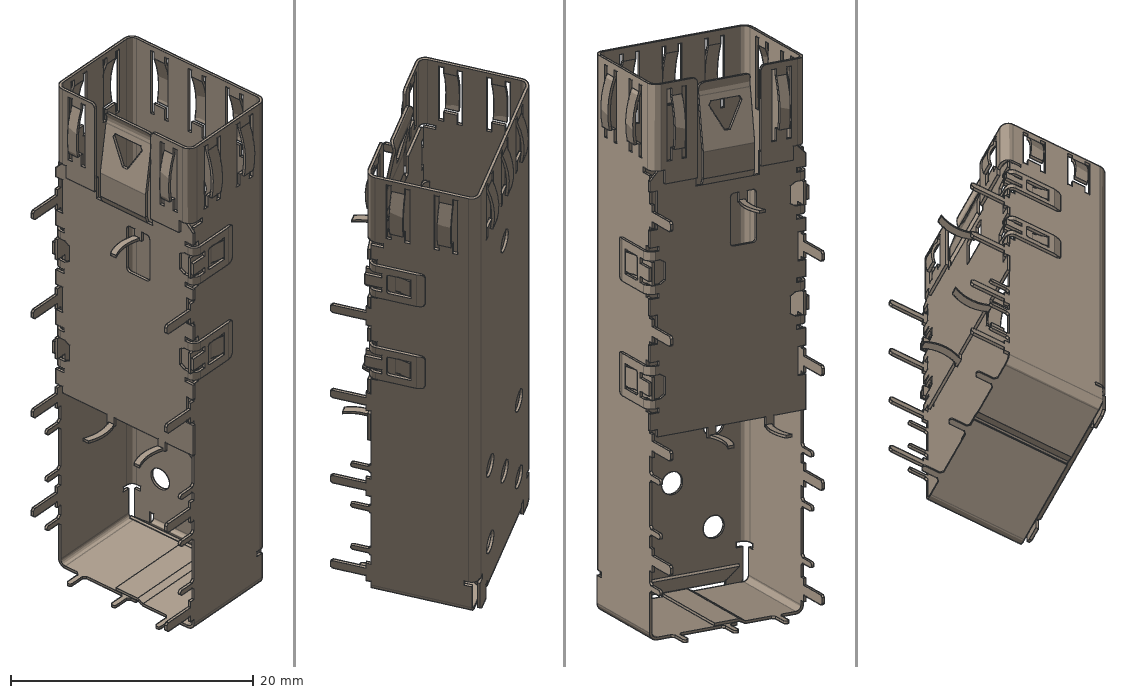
import cadquery as cq
import math


SHEET = 0.25
LENGTH = 48.8
HALF_WIDTH = 7.3
BACK_Y = 6.1
LIP_Y = -3.65
CORNER_R = 0.85
RAIL_Y = -3.15

LIP_BOTTOM_Z = 40.0
LIP_HALF_WIDTH = 6.1
LIP_GAP_HALF = 3.05
LIP_GAP_ROUND = 0.45
RELIEF_Z = 40.8
RELIEF_TOP_Z = 41.25
RELIEF_Y = -2.1

FINGER_BULGE = 0.6
FINGER_SLIT_TOP = 48.25
FINGER_SLIT_BOTTOM = 41.95
FINGER_ROOT_Z = 47.65
FINGER_PEAK_Z = 44.9
FINGER_END_Z = 43.05
FINGER_END_BULGE = 0.45
BACK_FINGERS = (-4.05, 0.0, 4.05)
SIDE_FINGERS = (3.3, -0.85)
LIP_FINGERS = (-5.0, 5.0)

CORNER_CUT_Z = 3.8
CORNER_CUT_HEIGHT = 0.5
CORNER_CUT_X = 6.1
CORNER_CUT_Y = 4.9
BACK_FLAP_HALF = 6.75
FLOOR_BACK_Y = 5.55
FLOOR_Z = 0.15
FLOOR_BEND_R = 0.75
FLOOR_LEFT_END = 1.02
FLOOR_LAP_END = -1.1
FLOOR_STEP = (1.2, 1.8)
FLOOR_LAP_RISE = 0.3
KICK_HALF_WIDTH = 4.7
KICK_SLIT_X = 5.1
KICK_SLIT_TOP = 1.65
KICK_BEND_R = 0.55
KICK_BEND_Z = 1.25
KICK_ANGLE = math.radians(40)
KICK_LENGTH = 3.1
FLANK_CHAMFER = 0.45

VENT_DIA = 2.0
VENT_PITCH_X = 7.9
VENT_PITCH_Z = 9.0
VENT_CENTRE_Z = 10.0
UPPER_VENT_Z = 37.05

PIN_PITCH = 10.0
LEFT_PINS = [7.3 + PIN_PITCH * i for i in range(4)]
RIGHT_PINS = [2.3 + PIN_PITCH * i for i in range(4)]
PIN_TIP_Y = -6.7
PIN_WIDTH = 0.9
PIN_CHAMFER = 0.2
SHOULDER_Y = -3.6
SHOULDER_HALF = 1.02
SHORT_PINS = (4.85, 9.75, 14.5)
SHORT_PIN_TIP_Y = -4.95
SHORT_PIN_WIDTH = 0.5
SHORT_PIN_FLARE = 0.25
FLOOR_PINS = (-4.8, 0.0, 4.8)

PLATE_OUT_Y = RAIL_Y - SHEET
PLATE_HALF_WIDTH = 7.4
PLATE_BOTTOM_Z = 17.95
PLATE_TOP_Z = RELIEF_TOP_Z
PLATE_CORNER = 0.9
PLATE_NOTCH_X = 6.7
PLATE_NOTCH_HALF = 1.25
LONG_NOTCH_TOP = 39.45
LEFT_FLAPS = (22.3, 32.3)
RIGHT_FLAPS = (27.35, 36.95)

FLAP_OUT_X = 7.6
FLAP_HALF = 1.85
FLAP_END_Y = 1.55
FLAP_BEND_R = 0.75
FLAP_LEAD_IN = 0.7
FLAP_END_THIN = 0.1
FLAP_END_ROUND = 0.4
WINDOW_TOP_Y = 0.4
WINDOW_END_Y = -1.7
WINDOW_HALF = 1.05
WINDOW_ROUND = 0.25
SLOT_INNER_X = 5.95
SLOT_TAPER_X = 6.45
SLOT_TIP_HALF = 0.8
SLOT_END_Y = -2.15
FLAP_STRIP_HALF = 0.6
FLAP_RELIEF = 0.4
FLAP_RELIEF_X = 6.55
RAIL_RECESS_Y = -2.65
BARB_TOP_Y = 0.3
BARB_END_Y = -1.02
BARB_HALF = 0.9

OPENING_X = (0.25, 2.75)
OPENING_Z = (33.4, 38.0)
OPENING_ROUND = 0.35
GROUND_WIDTH = 0.6
GROUND_BOW = 0.4
GROUND_DROP = 0.95
GROUND_NECK = 0.8
GROUND_TIP_Y = -6.6

LATCH_HALF = 2.45
LATCH_ROOT_Z = 39.25
LATCH_TOP_Z = 48.05
LATCH_ROUND = 0.5


def box(x0, x1, y0, y1, z0, z1):
    """Block between two corners given as axis limits."""
    return cq.Workplane("XY").box(x1 - x0, y1 - y0, z1 - z0, centered=False).translate((x0, y0, z0))


def mirrored_box(x0, x1, y0, y1, z0, z1):
    """A block and its mirror image in X."""
    block = box(x0, x1, y0, y1, z0, z1)
    return block.union(block.mirror("YZ"))


def side_of(shape, side):
    """Return a +X shape for side 1, or its mirror image for side -1."""
    return shape if side > 0 else shape.mirror("YZ")


def tube_section(inset, z0, z1):
    """Rounded block bounded by the four walls, moved in by an inset."""
    half = HALF_WIDTH - inset
    block = box(-half, half, LIP_Y + inset, BACK_Y - inset, z0, z1)
    return block.edges("|Z").fillet(CORNER_R - inset)


def channel_section(inset, z0, z1):
    """Block bounded by the back and side walls, open toward the board."""
    half = HALF_WIDTH - inset
    block = box(-half, half, RAIL_Y, BACK_Y - inset, z0, z1)
    return block.edges("|Z and >Y").fillet(CORNER_R - inset)


def make_walls():
    mouth = tube_section(0, RELIEF_Z, LENGTH).cut(tube_section(SHEET, RELIEF_Z, LENGTH))
    channel = channel_section(0, CORNER_CUT_Z - CORNER_CUT_HEIGHT, RELIEF_Z)
    channel = channel.cut(channel_section(SHEET, 0, RELIEF_Z))
    lip = box(-LIP_HALF_WIDTH, LIP_HALF_WIDTH, LIP_Y, LIP_Y + SHEET, LIP_BOTTOM_Z, RELIEF_TOP_Z)
    walls = mouth.union(channel).union(lip)
    walls = walls.cut(
        mirrored_box(LIP_HALF_WIDTH, HALF_WIDTH, LIP_Y, RELIEF_Y, RELIEF_Z, RELIEF_TOP_Z)
    )
    walls = walls.cut(
        mirrored_box(CORNER_CUT_X, HALF_WIDTH, CORNER_CUT_Y, BACK_Y, 0, CORNER_CUT_Z)
    )
    return walls.cut(make_lip_gap())


def make_lip_gap():
    """Gap in the lip for the latch, with rounded corners at the mouth."""
    flare = LIP_GAP_HALF + LIP_GAP_ROUND
    turn_z = LENGTH - LIP_GAP_ROUND
    return (
        cq.Workplane("XZ", origin=(0, LIP_Y + SHEET, 0))
        .moveTo(-LIP_GAP_HALF, LIP_BOTTOM_Z)
        .lineTo(LIP_GAP_HALF, LIP_BOTTOM_Z)
        .lineTo(LIP_GAP_HALF, turn_z)
        .radiusArc((flare, LENGTH), LIP_GAP_ROUND)
        .lineTo(-flare, LENGTH)
        .radiusArc((-LIP_GAP_HALF, turn_z), LIP_GAP_ROUND)
        .close()
        .extrude(SHEET)
    )


def finger_cut(width, slit):
    """Opening for one spring finger, in a wall with outer face y=0 and outward -Y."""
    outer = width / 2 + slit
    cut = box(-outer, outer, 0, SHEET, FINGER_SLIT_BOTTOM, FINGER_SLIT_TOP)
    land = box(-width / 2, width / 2, 0, SHEET, FINGER_SLIT_BOTTOM, FINGER_END_Z)
    root = box(-width / 2, width / 2, 0, SHEET, FINGER_ROOT_Z, FINGER_SLIT_TOP)
    return cut.cut(land).cut(root)


def spring_finger(width):
    """Bowed finger hanging from its root, outward in -Y from a wall face at y=0."""
    return (
        cq.Workplane("YZ", origin=(-width / 2, 0, 0))
        .moveTo(0, FINGER_ROOT_Z)
        .threePointArc((-FINGER_BULGE, FINGER_PEAK_Z), (-FINGER_END_BULGE, FINGER_END_Z))
        .lineTo(SHEET - FINGER_END_BULGE, FINGER_END_Z)
        .threePointArc((SHEET - FINGER_BULGE, FINGER_PEAK_Z), (SHEET, FINGER_ROOT_Z))
        .close()
        .extrude(width)
    )


def add_fingers(cage):
    """Fingers on the back wall, both side walls and the lip: width, slit, turn and place."""
    places = [(1.15, 0.35, 180, (x, BACK_Y, 0)) for x in BACK_FINGERS]
    places += [(1.0, 0.45, 0, (x, LIP_Y, 0)) for x in LIP_FINGERS]
    places += [(1.15, 0.45, -90, (-HALF_WIDTH, y, 0)) for y in SIDE_FINGERS]
    places += [(1.15, 0.45, 90, (HALF_WIDTH, y, 0)) for y in SIDE_FINGERS]
    for width, slit, turn, place in places:
        opening = finger_cut(width, slit).rotate((0, 0, 0), (0, 0, 1), turn).translate(place)
        finger = spring_finger(width).rotate((0, 0, 0), (0, 0, 1), turn).translate(place)
        cage = cage.cut(opening).union(finger)
    return cage


def make_back_flap():
    """Lower end of the back wall: two flanks with chamfered feet beside the kick-out spring."""
    flap = box(-BACK_FLAP_HALF, BACK_FLAP_HALF, BACK_Y - SHEET, BACK_Y, 0, CORNER_CUT_Z)
    flap = flap.edges("|Y and <Z").chamfer(FLANK_CHAMFER)
    flap = flap.cut(box(-KICK_SLIT_X, KICK_SLIT_X, BACK_Y - SHEET, BACK_Y, 0, KICK_SLIT_TOP))
    return flap.cut(
        mirrored_box(CORNER_CUT_X, HALF_WIDTH, 0, BACK_Y, CORNER_CUT_Z - CORNER_CUT_HEIGHT, CORNER_CUT_Z)
    )


def make_kick_spring():
    """Strip that curls under from the back wall and rises into the cage."""
    centre_y = BACK_Y - KICK_BEND_R
    inner_r = KICK_BEND_R - SHEET
    turn = math.pi / 2 + KICK_ANGLE

    def on_bend(radius, angle):
        return (centre_y + radius * math.cos(angle), KICK_BEND_Z - radius * math.sin(angle))

    def along(point):
        return (
            point[0] - KICK_LENGTH * math.cos(KICK_ANGLE),
            point[1] + KICK_LENGTH * math.sin(KICK_ANGLE),
        )

    outer_end = on_bend(KICK_BEND_R, turn)
    inner_end = on_bend(inner_r, turn)
    return (
        cq.Workplane("YZ", origin=(-KICK_HALF_WIDTH, 0, 0))
        .moveTo(BACK_Y, KICK_SLIT_TOP)
        .lineTo(BACK_Y, KICK_BEND_Z)
        .threePointArc(on_bend(KICK_BEND_R, turn / 2), outer_end)
        .lineTo(*along(outer_end))
        .lineTo(*along(inner_end))
        .lineTo(*inner_end)
        .threePointArc(on_bend(inner_r, turn / 2), (BACK_Y - SHEET, KICK_BEND_Z))
        .lineTo(BACK_Y - SHEET, KICK_SLIT_TOP)
        .close()
        .extrude(2 * KICK_HALF_WIDTH)
    )


def floor_flap(side, floor_edge):
    """Lower side wall and the floor flap bent from it; floor_edge runs from bottom to top face."""
    bend_x = side * (HALF_WIDTH - FLOOR_BEND_R)
    bend_z = FLOOR_Z + FLOOR_BEND_R
    inner_r = FLOOR_BEND_R - SHEET
    diagonal = math.sqrt(0.5)

    def middle(radius):
        return (bend_x + side * radius * diagonal, bend_z - radius * diagonal)

    outline = (
        cq.Workplane("XZ", origin=(0, FLOOR_BACK_Y, 0))
        .moveTo(side * HALF_WIDTH, CORNER_CUT_Z)
        .lineTo(side * HALF_WIDTH, bend_z)
        .threePointArc(middle(FLOOR_BEND_R), (bend_x, FLOOR_Z))
    )
    for point in floor_edge:
        outline = outline.lineTo(*point)
    return (
        outline.lineTo(bend_x, FLOOR_Z + SHEET)
        .threePointArc(middle(inner_r), (side * (HALF_WIDTH - SHEET), bend_z))
        .lineTo(side * (HALF_WIDTH - SHEET), CORNER_CUT_Z)
        .close()
        .extrude(FLOOR_BACK_Y - RAIL_Y)
        .cut(
            mirrored_box(
                CORNER_CUT_X, HALF_WIDTH, CORNER_CUT_Y, BACK_Y, CORNER_CUT_Z - CORNER_CUT_HEIGHT, CORNER_CUT_Z
            )
        )
    )


def make_floor():
    top_z = FLOOR_Z + SHEET
    lap_z = FLOOR_Z + FLOOR_LAP_RISE
    step_in, step_out = FLOOR_STEP
    left_edge = [(FLOOR_LEFT_END, FLOOR_Z), (FLOOR_LEFT_END, top_z)]
    right_edge = [
        (step_out, FLOOR_Z),
        (step_in, lap_z),
        (FLOOR_LAP_END, lap_z),
        (FLOOR_LAP_END, lap_z + SHEET),
        (step_in, lap_z + SHEET),
        (step_out, top_z),
    ]
    return floor_flap(-1, left_edge).union(floor_flap(1, right_edge))


def long_pin(z):
    """Shouldered pin on the +X wall edge."""
    half = PIN_WIDTH / 2
    pin = box(HALF_WIDTH - SHEET, HALF_WIDTH, PIN_TIP_Y, SHOULDER_Y, z - half, z + half)
    return pin.edges("|X and <Y").chamfer(PIN_CHAMFER).union(shoulder(z))


def shoulder(z):
    """Raised land on the edge of the +X wall."""
    return box(
        HALF_WIDTH - SHEET, HALF_WIDTH, SHOULDER_Y, RAIL_RECESS_Y, z - SHOULDER_HALF, z + SHOULDER_HALF
    )


def short_pin_outline(plane, centre):
    """Flared pin in a plane whose second axis is Y, rooted on the wall edge."""
    half = SHORT_PIN_WIDTH / 2
    flare = half + SHORT_PIN_FLARE
    tip_y = SHORT_PIN_TIP_Y + half
    return (
        plane.moveTo(centre - flare, RAIL_Y)
        .lineTo(centre - half, RAIL_Y - SHORT_PIN_FLARE)
        .lineTo(centre - half, tip_y)
        .threePointArc((centre, SHORT_PIN_TIP_Y), (centre + half, tip_y))
        .lineTo(centre + half, RAIL_Y - SHORT_PIN_FLARE)
        .lineTo(centre + flare, RAIL_Y)
        .close()
        .extrude(SHEET)
    )


def add_pins(cage):
    for side, pins, flaps in ((-1, LEFT_PINS, LEFT_FLAPS), (1, RIGHT_PINS, RIGHT_FLAPS)):
        for z in flaps:
            half = FLAP_HALF + FLAP_RELIEF
            recess = box(HALF_WIDTH - SHEET, HALF_WIDTH, RAIL_Y, RAIL_RECESS_Y, z - half, z + half)
            cage = cage.cut(side_of(recess, side)).union(side_of(shoulder(z), side))
            cage = cage.union(side_of(lock_barb(z), side))
        for z in pins:
            cage = cage.union(side_of(long_pin(z), side))
        for z in SHORT_PINS:
            wall_plane = cq.Workplane(
                cq.Plane(origin=(HALF_WIDTH, 0, 0), xDir=(0, 0, 1), normal=(-1, 0, 0))
            )
            cage = cage.union(side_of(short_pin_outline(wall_plane, z), side))
    for x in FLOOR_PINS:
        floor_plane = cq.Workplane("XY", origin=(0, 0, FLOOR_Z))
        cage = cage.union(short_pin_outline(floor_plane, x))
    return cage


def lock_barb(z):
    """Ramp on the +X wall that catches the window of a snap flap."""
    return (
        cq.Workplane("XY", origin=(0, 0, z - BARB_HALF))
        .polyline(
            [
                (HALF_WIDTH - SHEET / 2, BARB_TOP_Y),
                (FLAP_OUT_X, BARB_TOP_Y),
                (HALF_WIDTH, BARB_END_Y),
                (HALF_WIDTH - SHEET / 2, BARB_END_Y),
            ]
        )
        .close()
        .extrude(2 * BARB_HALF)
    )


def make_vents():
    places = [(x, z) for x in (-VENT_PITCH_X / 2, VENT_PITCH_X / 2)
              for z in (VENT_CENTRE_Z - VENT_PITCH_Z / 2, VENT_CENTRE_Z + VENT_PITCH_Z / 2)]
    places += [(0, VENT_CENTRE_Z), (0, UPPER_VENT_Z)]
    return (
        cq.Workplane("XZ", origin=(0, BACK_Y, 0))
        .pushPoints(places)
        .circle(VENT_DIA / 2)
        .extrude(SHEET)
    )


def make_cage():
    cage = make_walls().union(make_back_flap()).union(make_kick_spring()).union(make_floor())
    cage = add_fingers(cage)
    cage = add_pins(cage)
    return cage.cut(make_vents())


def make_plate_sheet():
    """Flat plate with chamfered top corners and notches around the pin shoulders."""
    half = PLATE_HALF_WIDTH
    sheet = box(-half, half, PLATE_OUT_Y, RAIL_Y, PLATE_BOTTOM_Z, PLATE_TOP_Z)
    sheet = sheet.edges("|Y and >Z").chamfer(PLATE_CORNER)
    for side, pins in ((-1, LEFT_PINS), (1, RIGHT_PINS)):
        for z in pins:
            top_z = LONG_NOTCH_TOP if z == LEFT_PINS[-1] else z + PLATE_NOTCH_HALF
            notch = box(PLATE_NOTCH_X, half, PLATE_OUT_Y, RAIL_Y, z - PLATE_NOTCH_HALF, top_z)
            sheet = sheet.cut(side_of(notch, side))
    return sheet


def flap_strip(z):
    """Snap flap for the +X side: root bend, straight leg and tapered end."""
    inner_x = FLAP_OUT_X - SHEET
    inner_r = FLAP_BEND_R - SHEET
    bend_x = FLAP_OUT_X - FLAP_BEND_R
    bend_y = PLATE_OUT_Y + FLAP_BEND_R
    diagonal = math.sqrt(0.5)
    strip = (
        cq.Workplane("XY", origin=(0, 0, z - FLAP_HALF))
        .moveTo(FLAP_RELIEF_X, PLATE_OUT_Y)
        .lineTo(bend_x, PLATE_OUT_Y)
        .threePointArc(
            (bend_x + FLAP_BEND_R * diagonal, bend_y - FLAP_BEND_R * diagonal), (FLAP_OUT_X, bend_y)
        )
        .lineTo(FLAP_OUT_X, FLAP_END_Y - FLAP_LEAD_IN)
        .lineTo(inner_x + FLAP_END_THIN, FLAP_END_Y)
        .lineTo(inner_x, FLAP_END_Y)
        .lineTo(inner_x, bend_y)
        .threePointArc((bend_x + inner_r * diagonal, bend_y - inner_r * diagonal), (bend_x, RAIL_Y))
        .lineTo(FLAP_RELIEF_X, RAIL_Y)
        .close()
        .extrude(2 * FLAP_HALF)
    )
    return strip.intersect(flap_outline(z))


def flap_outline(z):
    """Block that rounds the free corners of a flap."""
    block = box(
        FLAP_RELIEF_X, FLAP_OUT_X, PLATE_OUT_Y, FLAP_END_Y, z - FLAP_HALF, z + FLAP_HALF
    )
    return block.edges("|X and >Y").fillet(FLAP_END_ROUND)


def flap_slot(z):
    """Opening through plate and flap root that clears the wall shoulder."""
    tapered = (
        cq.Workplane("XZ", origin=(0, RAIL_Y, 0))
        .polyline(
            [
                (FLAP_OUT_X, z - WINDOW_HALF),
                (SLOT_TAPER_X, z - WINDOW_HALF),
                (SLOT_INNER_X, z - SLOT_TIP_HALF),
                (SLOT_INNER_X, z + SLOT_TIP_HALF),
                (SLOT_TAPER_X, z + WINDOW_HALF),
                (FLAP_OUT_X, z + WINDOW_HALF),
            ]
        )
        .close()
        .extrude(SHEET)
    )
    root = box(SLOT_TAPER_X, FLAP_OUT_X, PLATE_OUT_Y, SLOT_END_Y, z - WINDOW_HALF, z + WINDOW_HALF)
    return tapered.union(root)


def add_flap(plate, side, z):
    half = FLAP_HALF + FLAP_RELIEF
    relief = box(FLAP_RELIEF_X, PLATE_HALF_WIDTH, PLATE_OUT_Y, RAIL_Y, z - half, z + half)
    window = box(
        HALF_WIDTH, FLAP_OUT_X, WINDOW_END_Y, WINDOW_TOP_Y, z - WINDOW_HALF, z + WINDOW_HALF
    )
    window = window.edges("|X and <Y").fillet(WINDOW_ROUND)
    stop = box(
        FLAP_OUT_X - SHEET, FLAP_OUT_X, SHOULDER_Y, SLOT_END_Y, z - FLAP_STRIP_HALF, z + FLAP_STRIP_HALF
    )
    plate = plate.cut(side_of(relief, side)).union(side_of(flap_strip(z), side))
    plate = plate.cut(side_of(flap_slot(z).union(window), side))
    return plate.union(side_of(stop, side))


def ground_finger(x, root_z, bow):
    """Neck hanging from an edge at root_z and a finger bowed in X that points to the board."""
    under_z = root_z - GROUND_DROP
    half = GROUND_WIDTH / 2
    middle_y = (RAIL_Y + GROUND_TIP_Y) / 2
    neck = box(x - GROUND_NECK / 2, x + GROUND_NECK / 2, PLATE_OUT_Y, RAIL_Y, under_z, root_z)
    finger = (
        cq.Workplane("XY", origin=(0, 0, under_z))
        .moveTo(x - half, RAIL_Y)
        .threePointArc((x - half + bow, middle_y), (x - half, GROUND_TIP_Y))
        .lineTo(x + half, GROUND_TIP_Y)
        .threePointArc((x + half + bow, middle_y), (x + half, RAIL_Y))
        .close()
        .extrude(SHEET)
    )
    return neck.union(finger)


def make_latch():
    """Spring latch stepped out of the plate, leaning inward, with a lip curled back outward."""
    profile = [(PLATE_OUT_Y, LATCH_ROOT_Z), (-3.6, 39.8), (-3.6, 42.15), (-2.9, 46.85)]
    curl_middle = (-2.85, 47.5)
    curl_end_y = -3.1

    def back(point):
        return (point[0] + SHEET, point[1])

    front_end = (curl_end_y, LATCH_TOP_Z)
    outline = cq.Workplane("YZ", origin=(-LATCH_HALF, 0, 0)).moveTo(*profile[0])
    for point in profile[1:]:
        outline = outline.lineTo(*point)
    outline = outline.threePointArc(curl_middle, front_end).lineTo(*back(front_end))
    outline = outline.threePointArc(back(curl_middle), back(profile[-1]))
    for point in reversed(profile[:-1]):
        outline = outline.lineTo(*back(point))
    latch = outline.close().extrude(2 * LATCH_HALF)

    blank = box(-LATCH_HALF, LATCH_HALF, LIP_Y, 0, LATCH_ROOT_Z, LATCH_TOP_Z)
    blank = blank.edges("|Y and >Z").fillet(LATCH_ROUND)
    return latch.intersect(blank).cut(make_latch_hole())


def make_latch_hole():
    """Triangular catch opening that points down the cage."""
    half_top, half_side, half_tip = 1.35, 1.55, 0.25
    top_z, side_z, tip_z = 46.25, 45.9, 43.65
    return (
        cq.Workplane("XZ")
        .polyline(
            [
                (-half_top, top_z),
                (half_top, top_z),
                (half_side, side_z),
                (half_tip, tip_z),
                (-half_tip, tip_z),
                (-half_side, side_z),
            ]
        )
        .close()
        .extrude(-LIP_Y)
    )


def make_plate():
    plate = make_plate_sheet()
    plate = plate.cut(
        box(-LIP_GAP_HALF, LIP_GAP_HALF, PLATE_OUT_Y, RAIL_Y, LATCH_ROOT_Z, PLATE_TOP_Z)
    )
    opening = box(*OPENING_X, PLATE_OUT_Y, RAIL_Y, *OPENING_Z)
    plate = plate.cut(opening.edges("|Y").fillet(OPENING_ROUND))
    for side, flaps in ((-1, LEFT_FLAPS), (1, RIGHT_FLAPS)):
        for z in flaps:
            plate = add_flap(plate, side, z)
    plate = plate.union(ground_finger(-1.5, PLATE_BOTTOM_Z, GROUND_BOW))
    plate = plate.union(ground_finger(4.0, PLATE_BOTTOM_Z, -GROUND_BOW))
    plate = plate.union(ground_finger(1.45, OPENING_Z[1], -GROUND_BOW))
    return plate.union(make_latch())


cage = make_cage()
plate = make_plate()
result = cq.Compound.makeCompound([cage.val(), plate.val()])